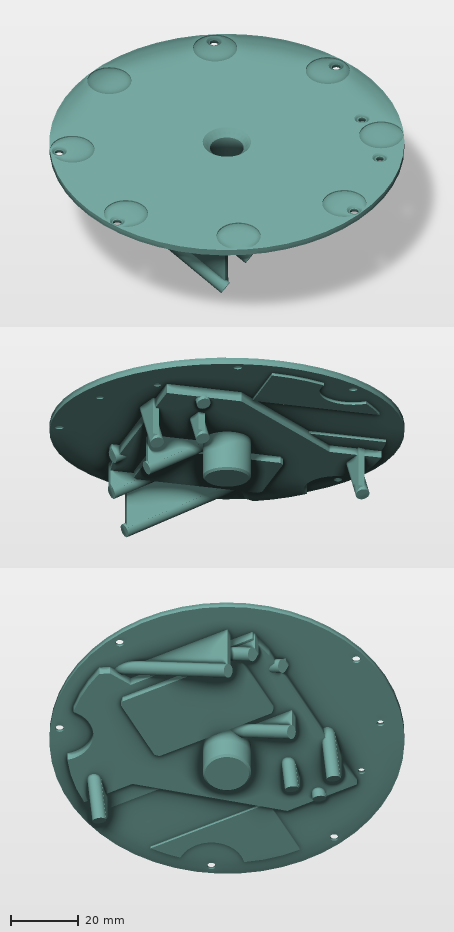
import cadquery as cq
import math

plate_diameter = 105.6
plate_thickness = 2.0
plate_bottom = -plate_thickness

hub_diameter = 14.4
hub_bottom = -17.0
hub_chamfer = 0.6
bore_diameter = 10.0
hub_floor = 2.0

recess_count = 8
recess_diameter = 13.1
recess_circle_radius = 46.0
recess_depth = 0.4
first_angle = -12.7
recess_pitch = 360.0 / recess_count

screw_head_diameter = 4.5
clearance = 1.1
screw_seat_diameter = 3.4
rim_hole_diameter = 2.5
rim_hole_radius = 50.0
rim_hole_steps = (0, 2, 3, 5, 6)
inner_hole_diameter = 2.2
inner_hole_centres = ((30.1, 29.0), (43.7, 14.7))

rib_radius = 47.7
thin_bottom = -2.9
thick_bottom = -5.0
block_bottom = -7.0
rib_edge_y = 0.3
notch_radius = 10.0
notch_steps = (3, 5)
gap_front_y = 7.4
gap_back_y = 27.1

block_half_length = 19.9
block_front_y = -31.7
block_back_y = -7.4
block_chamfer = 1.2

bar_diameter = 4.1
bar_radius = bar_diameter / 2
web_thickness = 2.1
shallow_slope = 29.2
steep_slope = 64.3
steep_heading = 102.0
shallow_bars = (
    ((20.3, -39.1, -20.8), -0.2),
    ((25.8, -34.0, -11.1), 1.0),
    ((23.7, -4.2, -14.8), 0.2),
    ((29.3, -21.1, -5.1), 1.0),
)
steep_bars = (
    ((-42.2, -0.6, -17.0), 1.3),
    ((12.7, 17.6, -12.7), 1.3),
    ((26.7, 17.3, -15.5), 1.3),
    ((15.8, 29.5, -6.5), 0.6),
)


def polar(radius, angle):
    turn = math.radians(angle)
    return (radius * math.cos(turn), radius * math.sin(turn))


def step_angle(step):
    return first_angle + step * recess_pitch


def layer(sketch, bottom):
    """Extrude an outline drawn on z = 0 and keep it between bottom and the plate underside."""
    return sketch.extrude(bottom - plate_bottom).translate((0, 0, plate_bottom))


def rib_disc(bottom):
    return layer(cq.Workplane().circle(rib_radius), bottom)


def thin_rib():
    """Thin quarter disc, left open where the thick rib wall faces outward."""
    corner = layer(cq.Workplane().rect(rib_radius, rib_radius, centered=False), thin_bottom)
    quarter = rib_disc(thin_bottom).intersect(corner.translate((-rib_radius, 0, 0)))
    gap_centre = (-rib_radius / 2, (gap_front_y + gap_back_y) / 2)
    gap = layer(cq.Workplane().center(*gap_centre).rect(rib_radius, gap_back_y - gap_front_y), thin_bottom)
    return quarter.cut(gap)


def thick_rib():
    """Thick slab inside the rib circle, with a slanted wall at the back left."""
    outline = [
        (-rib_radius, rib_edge_y),
        (-31.7, rib_edge_y),
        (4.5, 30.7),
        (27.7, 30.7),
        (27.7, -26.4),
        (26.2, -34.8),
        (-14.4, -34.8),
        (-17.8, -41.7),
        (-20.7, -42.9),
        (-20.7, -rib_radius),
        (-rib_radius, -rib_radius),
    ]
    slab = layer(cq.Workplane().polyline(outline).close(), thick_bottom)
    return slab.intersect(rib_disc(thick_bottom))


def low_block():
    width = block_back_y - block_front_y
    centre_y = (block_back_y + block_front_y) / 2
    block = layer(cq.Workplane().center(0, centre_y).rect(2 * block_half_length, width), block_bottom)
    return block.edges("|Z").chamfer(block_chamfer)


def hub():
    post = cq.Workplane().circle(hub_diameter / 2).extrude(hub_bottom)
    return post.faces("<Z").chamfer(hub_chamfer)


def braced_bar(end, heading, slope, web_reach, web_side):
    """Round bar running down along +X before turning to its heading, with a web up to the plate.

    The web lies on one side of the bar's middle plane: +1 for left of the heading, -1 for right.
    """
    fall = math.tan(math.radians(slope))
    depth = -end[2]
    run = depth / fall
    back = cq.Vector(-1, 0, fall)
    bar_length = run * back.Length + bar_diameter
    bar = cq.Workplane(cq.Solid.makeCylinder(bar_radius, bar_length, cq.Vector(0, 0, 0), back))
    web_end_z = bar_radius * math.hypot(1, fall) - web_reach * fall
    web_outline = [(-run, depth), (web_reach, depth), (web_reach, web_end_z), (0, 0)]
    web = cq.Workplane("XZ").polyline(web_outline).close().extrude(-web_side * web_thickness)
    brace = bar.union(web).rotate((0, 0, 0), (0, 0, 1), heading).translate(end)
    keep_top = plate_bottom / 2
    keep = cq.Workplane().rect(plate_diameter, plate_diameter).extrude(-plate_diameter)
    return brace.intersect(keep.translate((0, 0, keep_top)))


def countersunk_cutter(centre, hole_diameter, head_z):
    """Clearance above, 45 degree countersink at head_z, then a through hole."""
    head_radius = screw_head_diameter / 2
    seat_radius = screw_seat_diameter / 2
    hole_radius = hole_diameter / 2
    seat_z = head_z - (head_radius - seat_radius)
    profile = [(0, clearance), (head_radius, clearance), (head_radius, head_z), (seat_radius, seat_z),
               (hole_radius, seat_z), (hole_radius, thick_bottom), (0, thick_bottom)]
    cutter = cq.Workplane("XZ").polyline(profile).close().revolve(360, (0, 0), (0, 1))
    return cutter.translate((centre[0], centre[1], 0))


def bore_cutter():
    """Blind bore whose 45 degree mouth opens to the hub diameter."""
    mouth_radius = hub_diameter / 2
    bore_radius = bore_diameter / 2
    bore_bottom = hub_bottom + hub_floor
    profile = [(0, 0), (mouth_radius, 0), (bore_radius, bore_radius - mouth_radius),
               (bore_radius, bore_bottom), (0, bore_bottom)]
    return cq.Workplane("XZ").polyline(profile).close().revolve(360, (0, 0), (0, 1))


ribs = thin_rib().union(thick_rib())
for step in notch_steps:
    notch_centre = polar(rim_hole_radius, step_angle(step))
    ribs = ribs.cut(layer(cq.Workplane().center(*notch_centre).circle(notch_radius), thick_bottom))

result = cq.Workplane().circle(plate_diameter / 2).extrude(-plate_thickness)
result = result.union(ribs).union(low_block()).union(hub())

for end, web_reach in shallow_bars:
    result = result.union(braced_bar(end, 0, shallow_slope, web_reach, 1))
for end, web_reach in steep_bars:
    result = result.union(braced_bar(end, steep_heading, steep_slope, web_reach, -1))

for step in range(recess_count):
    recess_centre = polar(recess_circle_radius, step_angle(step))
    recess = cq.Workplane().center(*recess_centre).circle(recess_diameter / 2).extrude(-recess_depth)
    result = result.cut(recess)

for step in rim_hole_steps:
    hole_centre = polar(rim_hole_radius, step_angle(step))
    result = result.cut(countersunk_cutter(hole_centre, rim_hole_diameter, -recess_depth))
for hole_centre in inner_hole_centres:
    result = result.cut(countersunk_cutter(hole_centre, inner_hole_diameter, 0))

result = result.cut(bore_cutter())